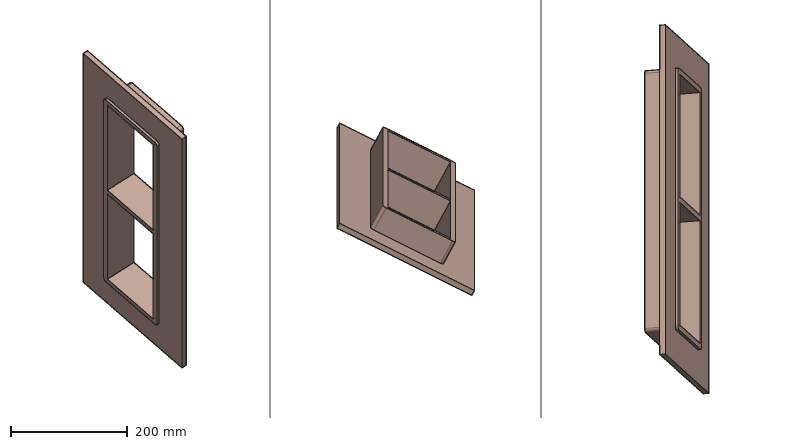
import cadquery as cq

flange_width = 260.5
flange_height = 586.0
flange_thickness = 10.0

flange_border = 60.0
sleeve_width = flange_width - 2 * flange_border
sleeve_height = flange_height - 2 * flange_border
sleeve_depth = 60.0
sleeve_front_projection = 5.0
sleeve_corner_radius = 6.0
wall_thickness = 10.0

crossbar_thickness = 10.0
opening_width = sleeve_width - 2 * wall_thickness
opening_height = (sleeve_height - 2 * wall_thickness - crossbar_thickness) / 2
opening_offset = (opening_height + crossbar_thickness) / 2


def block(width, height, front, depth):
    """Box centred on X and Z, running from Y = front towards +Y."""
    return cq.Workplane("XY").box(width, depth, height).translate((0, front + depth / 2, 0))


def make_flange():
    return block(flange_width, flange_height, 0, flange_thickness)


def make_sleeve():
    sleeve = block(sleeve_width, sleeve_height, -sleeve_front_projection, sleeve_depth)
    return sleeve.edges("|Y").fillet(sleeve_corner_radius)


def make_opening(center_z):
    opening = block(opening_width, opening_height, -sleeve_front_projection, sleeve_depth)
    return opening.translate((0, 0, center_z))


result = make_flange().union(make_sleeve())
for center_z in (-opening_offset, opening_offset):
    result = result.cut(make_opening(center_z))